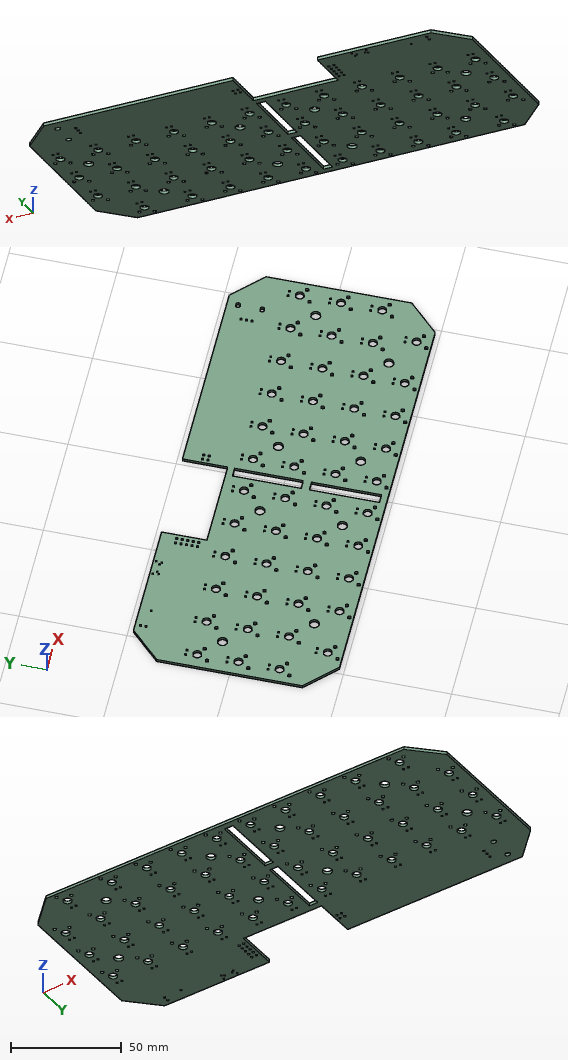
import cadquery as cq

LENGTH = 222.885
WIDTH = 95.25
THICKNESS = 1.6
CORNER_CUT = 13.97
TOP = WIDTH / 2
RIGHT = LENGTH / 2

PITCH = 19.05
COLUMNS_PER_HALF = 6
ROWS = 4
KEY_MARGIN = 6.985
CORNER_KEY_SHIFT = 13.97

STEM_DIAMETER = 4.0
PIN_DIAMETER = 1.5
PIN_OFFSETS = [(3.81, -2.54), (-2.54, -5.08)]
LED_DIAMETER = 0.9
LED_OFFSETS = [(-1.27, 5.08), (1.27, 5.08)]

SCREW_DIAMETER = 4.5
SCREW_KEYS = [(0, 0), (4, 0), (1, 2), (4, 2)]

SPLIT_WIDTH = 4.445
NOTCH_LEFT = -40.32
NOTCH_DEPTH = 20.955
SLOT_DEPTHS = [(24.13, 55.88), (59.69, 92.075)]

HEADER_PITCH = 2.54
HEADER_DIAMETER = 1.0
LEFT_HEADER = (-44.88, 40.07)
LEFT_HEADER_ROWS = 5
RIGHT_HEADER = (4.1, 38.73)
RIGHT_HEADER_ROWS = 2
HEADER_COLUMNS = 2

ENCODER_CENTER = (92.93, 36.85)
ENCODER_PIN_OFFSET = -7.5
ENCODER_PIN_PITCH = 2.5
ENCODER_PIN_DIAMETER = 1.0
LUG_SPACING = 11.2
LUG_LENGTH = 2.6
LUG_WIDTH = 2.0

PAIR_HOLES = [(-94.1, 45.09), (-94.1, 42.55)]
PAIR_DIAMETER = 1.0
SINGLE_HOLE = (-84.93, 42.23)
SINGLE_DIAMETER = 0.8

CONNECTOR_AXIS = -60.6
CONNECTOR_HOLES = [(3.65, 46.2), (2.1, 44.4), (3.3, 43.6)]
CONNECTOR_DIAMETER = 0.7


def key_x(column):
    """X of a right-half column, counted inward from the outer edge."""
    return RIGHT - KEY_MARGIN - column * PITCH


def key_y(row):
    """Y of a key row, counted downward from the top row."""
    return -TOP + KEY_MARGIN + (ROWS - 1 - row) * PITCH


def mirrored(points, axis=0.0):
    """Both copies of points given by their distance from a vertical axis."""
    return [(axis + side * x, y) for x, y in points for side in (-1, 1)]


def key_centers():
    """Full upper rows; the bottom row has one wide corner key in place of its outer two."""
    last = ROWS - 1
    centers = [(key_x(column), key_y(row)) for row in range(last) for column in range(COLUMNS_PER_HALF)]
    centers.append((key_x(0) - CORNER_KEY_SHIFT, key_y(last)))
    centers += [(key_x(column), key_y(last)) for column in range(2, COLUMNS_PER_HALF)]
    return mirrored(centers)


def header_holes(corner, rows):
    left, top = corner
    return [
        (left + column * HEADER_PITCH, top - row * HEADER_PITCH)
        for column in range(HEADER_COLUMNS)
        for row in range(rows)
    ]


def drill(plate, points, diameter):
    bits = cq.Workplane("XY").pushPoints(points).circle(diameter / 2).extrude(THICKNESS)
    return plate.cut(bits)


def cut_window(plate, left, right, start, end):
    """Cut a rectangle whose start and end are depths below the top edge."""
    window = cq.Workplane("XY").center((left + right) / 2, TOP - (start + end) / 2)
    return plate.cut(window.rect(right - left, end - start).extrude(THICKNESS))


def make_plate():
    plate = cq.Workplane("XY").box(LENGTH, WIDTH, THICKNESS, centered=(True, True, False))
    return plate.edges("|Z").chamfer(CORNER_CUT)


def cut_split(plate):
    half_split = SPLIT_WIDTH / 2
    plate = cut_window(plate, NOTCH_LEFT, half_split, 0, NOTCH_DEPTH)
    for start, end in SLOT_DEPTHS:
        plate = cut_window(plate, -half_split, half_split, start, end)
    return plate


def drill_switches(plate):
    keys = key_centers()
    plate = drill(plate, keys, STEM_DIAMETER)
    for offsets, diameter in ((PIN_OFFSETS, PIN_DIAMETER), (LED_OFFSETS, LED_DIAMETER)):
        holes = [(x + dx, y + dy) for x, y in keys for dx, dy in offsets]
        plate = drill(plate, holes, diameter)
    return plate


def drill_screws(plate):
    centers = [(key_x(column + 0.5), key_y(row + 0.5)) for column, row in SCREW_KEYS]
    return drill(plate, mirrored(centers), SCREW_DIAMETER)


def drill_headers(plate):
    plate = drill(plate, header_holes(LEFT_HEADER, LEFT_HEADER_ROWS), HEADER_DIAMETER)
    return drill(plate, header_holes(RIGHT_HEADER, RIGHT_HEADER_ROWS), HEADER_DIAMETER)


def cut_encoder(plate):
    x, y = ENCODER_CENTER
    pins = [(x + ENCODER_PIN_OFFSET, y + step * ENCODER_PIN_PITCH) for step in (-1, 0, 1)]
    plate = drill(plate, pins, ENCODER_PIN_DIAMETER)
    lugs = cq.Workplane("XY").pushPoints([(x, y + side * LUG_SPACING / 2) for side in (-1, 1)])
    return plate.cut(lugs.slot2D(LUG_LENGTH, LUG_WIDTH).extrude(THICKNESS))


def drill_corner_pins(plate):
    plate = drill(plate, PAIR_HOLES, PAIR_DIAMETER)
    return drill(plate, [SINGLE_HOLE], SINGLE_DIAMETER)


def drill_connector(plate):
    return drill(plate, mirrored(CONNECTOR_HOLES, CONNECTOR_AXIS), CONNECTOR_DIAMETER)


plate = make_plate()
plate = cut_split(plate)
plate = drill_switches(plate)
plate = drill_screws(plate)
plate = drill_headers(plate)
plate = cut_encoder(plate)
plate = drill_corner_pins(plate)
plate = drill_connector(plate)

result = plate